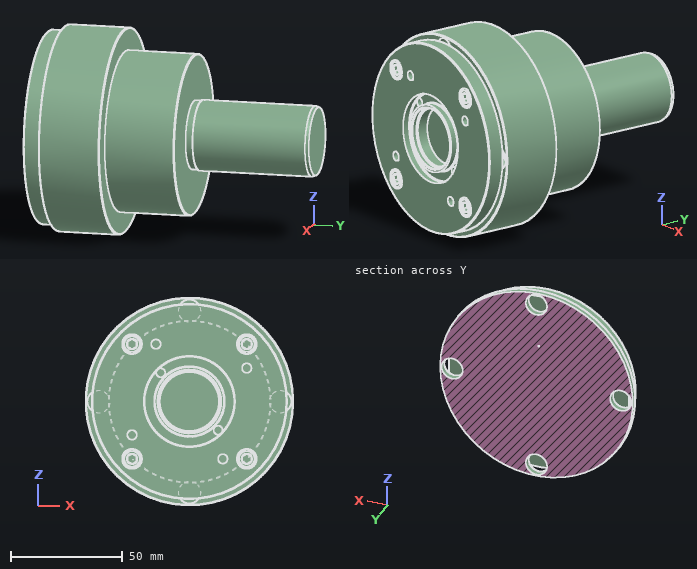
import cadquery as cq
import math

total_length = 125.4
plate_back = 7.8
large_body_back = 36.0
small_body_back = 68.2
neck_back = 71.5

large_body_radius = 93.7 / 2
plate_radius = 44.0
small_body_radius = 36.6
shaft_radius = 16.0
neck_radius = 15.7

edge_chamfer = 0.4
shaft_chamfer_length = 1.6
shaft_chamfer_height = 0.6

recess_radius = 20.6
recess_depth = 3.6
hub_radius = 15.5
recess_chamfer = 0.4

bore_mouth_radius = 14.0
bore_mouth_depth = 2.5
bore_radius = 13.3
bore_depth = 8.2
bore_chamfer = 0.4

screw_offset = 25.8
screw_pocket_radius = 4.5
screw_pocket_depth = 5.0
screw_head_radius = 4.3
screw_head_chamfer = 0.8
socket_sides = 6
socket_flats = 4.0
socket_depth = 2.5
socket_mouth_radius = 2.4
socket_mouth_depth = 0.4

plate_pin_radius = 2.1
plate_pin_depth = 5.0
plate_pin_offset = 15.0

spanner_radius = 2.0
spanner_offset = 12.9
spanner_depth = 3.8

body_pocket_radius = 5.0
body_pocket_centre = 40.9
body_pocket_depth = 6.3


def cylinder(radius, front, back, x=0.0, z=0.0):
    """Solid cylinder along Y between two axial stations."""
    return cq.Workplane("XZ", origin=(x, front, z)).circle(radius).extrude(front - back)


def quarter_turns(x, z):
    """Four places reached by turning one place about the Y axis."""
    return [(x, z), (-z, x), (-x, -z), (z, -x)]


def outer_body():
    """Cover plate, stepped body, neck and shaft."""
    plate = cylinder(plate_radius, 0, plate_back).edges().chamfer(edge_chamfer)
    large_body = cylinder(large_body_radius, plate_back, large_body_back).edges().chamfer(edge_chamfer)
    for x, z in quarter_turns(body_pocket_centre, 0):
        pocket_back = plate_back + body_pocket_depth
        large_body = large_body.cut(cylinder(body_pocket_radius, plate_back, pocket_back, x, z))
    small_body = cylinder(small_body_radius, large_body_back, small_body_back)
    small_body = small_body.faces(">Y").chamfer(edge_chamfer)
    neck = cylinder(neck_radius, small_body_back, neck_back)
    shaft = cylinder(shaft_radius, neck_back, total_length)
    shaft = shaft.faces(">Y").chamfer(shaft_chamfer_length, shaft_chamfer_height)
    return plate.union(large_body).union(small_body).union(neck).union(shaft)


def front_recess():
    """Tool for the annular recess, with chamfered corners at its floor."""
    section = [
        (hub_radius, 0),
        (recess_radius, 0),
        (recess_radius, recess_depth - recess_chamfer),
        (recess_radius - recess_chamfer, recess_depth),
        (hub_radius + recess_chamfer, recess_depth),
        (hub_radius, recess_depth - recess_chamfer),
    ]
    return cq.Workplane("XY").polyline(section).close().revolve(360, (0, 0, 0), (0, 1, 0))


def hub_bore():
    """Tool for the stepped blind bore, chamfered at its mouth and at its step."""
    section = [
        (0, 0),
        (bore_mouth_radius + bore_chamfer, 0),
        (bore_mouth_radius, bore_chamfer),
        (bore_mouth_radius, bore_mouth_depth),
        (bore_radius + bore_chamfer, bore_mouth_depth),
        (bore_radius, bore_mouth_depth + bore_chamfer),
        (bore_radius, bore_depth),
        (0, bore_depth),
    ]
    return cq.Workplane("XY").polyline(section).close().revolve(360, (0, 0, 0), (0, 1, 0))


def screw_gap(x, z):
    """Tool that leaves a chamfered socket head standing in its counterbore."""
    head = cylinder(screw_head_radius, 0, screw_pocket_depth, x, z)
    head = head.faces("<Y").chamfer(screw_head_chamfer)
    socket_corners = socket_flats / math.cos(math.pi / socket_sides)
    socket = (
        cq.Workplane("XZ", origin=(x, 0, z))
        .transformed(rotate=(0, 0, 90))
        .polygon(socket_sides, socket_corners)
        .extrude(-socket_depth)
    )
    mouth = cq.Workplane(
        cq.Solid.makeCone(
            socket_mouth_radius,
            socket_flats / 2,
            socket_mouth_depth,
            cq.Vector(x, 0, z),
            cq.Vector(0, 1, 0),
        )
    )
    pocket = cylinder(screw_pocket_radius, 0, screw_pocket_depth, x, z)
    return pocket.cut(head).union(socket).union(mouth)


result = outer_body().cut(front_recess()).cut(hub_bore())

for x, z in quarter_turns(screw_offset, screw_offset):
    result = result.cut(screw_gap(x, z))

for x, z in quarter_turns(screw_offset, plate_pin_offset):
    result = result.cut(cylinder(plate_pin_radius, 0, plate_pin_depth, x, z))

for side in (-1, 1):
    spanner_hole = cylinder(
        spanner_radius,
        recess_depth,
        recess_depth + spanner_depth,
        side * spanner_offset,
        -side * spanner_offset,
    )
    result = result.cut(spanner_hole)